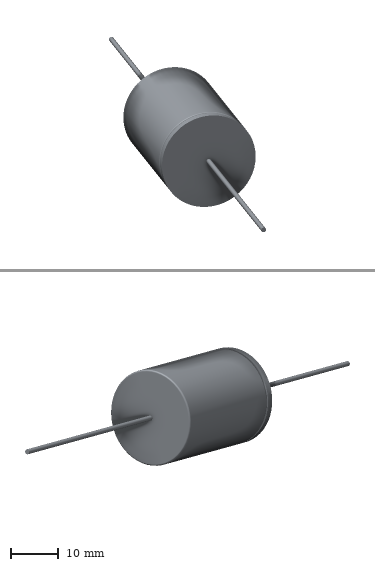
import cadquery as cq

total_length = 117.0
left_lead_length = 44.9
lead_diameter = 1.0
body_diameter = 20.5
body_length = 28.1
edge_radius = 0.4
neck_length = 0.4
cap_thickness = 1.5

neck_diameter = body_diameter - 2 * edge_radius

wire_left = -total_length / 2
body_left = wire_left + left_lead_length
body_right = body_left + body_length
cap_left = body_right + neck_length


def cylinder_along_x(start, length, diameter):
    return cq.Workplane("YZ", origin=(start, 0, 0)).circle(diameter / 2).extrude(length)


can = cylinder_along_x(body_left, body_length, body_diameter).edges().fillet(edge_radius)
neck = cylinder_along_x(body_right, neck_length, neck_diameter)
cap = cylinder_along_x(cap_left, cap_thickness, body_diameter)

wire = cylinder_along_x(wire_left, total_length, lead_diameter)

result = can.union(neck).union(cap).union(wire)